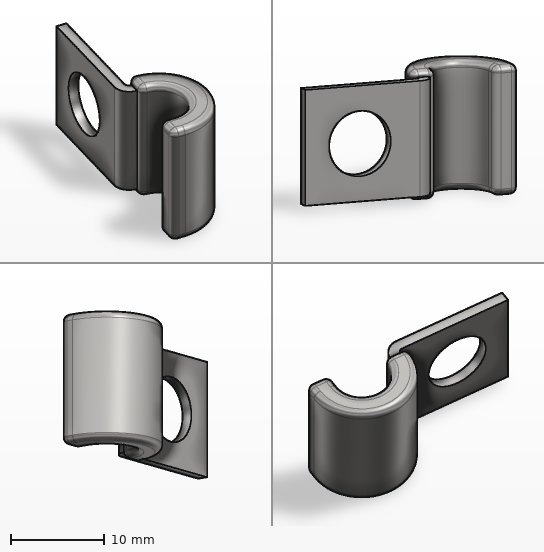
import cadquery as cq
import math

strap_thickness = 1.2192
strap_width = 12.7
tab_end_to_loop_axis = 19.05
tab_bottom_below_axis = 2.38125
bend_inner_radius = strap_thickness / 2
hole_diameter = 7.14375
hole_from_tab_end = 6.35

cushion_thickness = 0.79375
held_diameter = 6.35
free_end_below_axis = 2 * cushion_thickness

cushion_inner_radius = held_diameter / 2
strap_inner_radius = cushion_inner_radius + cushion_thickness
strap_outer_radius = strap_inner_radius + strap_thickness
cushion_outer_radius = strap_outer_radius + cushion_thickness
bend_outer_radius = bend_inner_radius + strap_thickness
bend_end_below_axis = tab_bottom_below_axis - bend_outer_radius
cushion_width = strap_width + 2 * cushion_thickness


def make_cushion():
    """C-shaped sleeve with square ends, rounded on every edge."""
    inner_end_x = -math.sqrt(cushion_inner_radius**2 - bend_end_below_axis**2)
    outer_end_x = -math.sqrt(cushion_outer_radius**2 - bend_end_below_axis**2)
    sleeve = (
        cq.Workplane("XY")
        .workplane(offset=-cushion_width / 2)
        .moveTo(outer_end_x, -bend_end_below_axis)
        .threePointArc((0, cushion_outer_radius), (cushion_outer_radius, 0))
        .lineTo(cushion_outer_radius, -free_end_below_axis)
        .lineTo(cushion_inner_radius, -free_end_below_axis)
        .lineTo(cushion_inner_radius, 0)
        .threePointArc((0, cushion_inner_radius), (inner_end_x, -bend_end_below_axis))
        .close()
        .extrude(cushion_width)
    )
    return sleeve.edges().fillet(cushion_thickness)


def make_tab():
    """Flat tab with its bend, running into the cushion, with which it makes one solid."""
    tab_end_x = -tab_end_to_loop_axis
    tab_bottom_y = -tab_bottom_below_axis
    tab_top_y = tab_bottom_y + strap_thickness
    bend_x = -strap_inner_radius - bend_outer_radius
    bend_y = -bend_end_below_axis
    diagonal = math.sqrt(0.5)

    def bend_middle(radius):
        return (bend_x + radius * diagonal, bend_y - radius * diagonal)

    return (
        cq.Workplane("XY")
        .workplane(offset=-strap_width / 2)
        .moveTo(tab_end_x, tab_bottom_y)
        .lineTo(bend_x, tab_bottom_y)
        .threePointArc(bend_middle(bend_outer_radius), (-strap_inner_radius, bend_y))
        .lineTo(-strap_inner_radius, 0)
        .lineTo(-strap_outer_radius, 0)
        .lineTo(-strap_outer_radius, bend_y)
        .threePointArc(bend_middle(bend_inner_radius), (bend_x, tab_top_y))
        .lineTo(tab_end_x, tab_top_y)
        .close()
        .extrude(strap_width)
    )


def make_mounting_hole():
    """Cutter for the round screw hole through the tab."""
    hole_x = hole_from_tab_end - tab_end_to_loop_axis
    return (
        cq.Workplane("XZ")
        .center(hole_x, 0)
        .circle(hole_diameter / 2)
        .extrude(tab_bottom_below_axis)
    )


result = make_cushion().union(make_tab()).cut(make_mounting_hole())